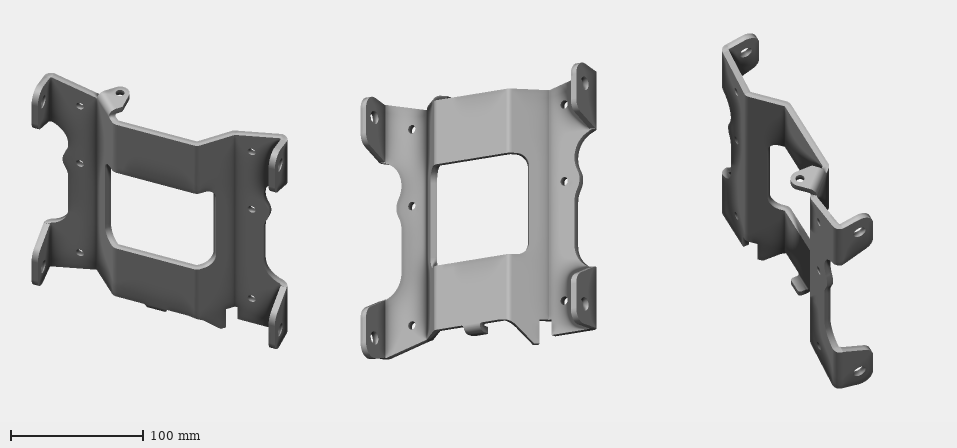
import cadquery as cq
import math


SHEET = 5.0
BEND_IN = 1.0
BEND_OUT = SHEET + BEND_IN
FOOT_R = 2.3

HALF_WIDTH = 98.7
PAN_HALF = 34.0
RAMP_RUN = 22.0
PAN_FRONT = -(RAMP_RUN + SHEET)
RAMP_END = PAN_HALF + RAMP_RUN
FLANGE_END = HALF_WIDTH - BEND_OUT
HALF_FOLD = math.radians(22.5)
FOLD_SHIFT = SHEET * math.tan(HALF_FOLD)
DIAG = math.sqrt(0.5)

WEB_HALF_HEIGHT = 89.5
EAR_ROOT = 98.5
EAR_HALF_HEIGHT = 101.6
SLOT_INNER = 58.2
SIDE_EDGE = 79.2
CUTOUT_R = 20.0
CUTOUT_Z = 34.0

WEB_HOLE_D = 6.5
WEB_HOLE_X = 69.7
WEB_HOLE_Z = 76.5
MIDDLE_HOLE_Z = 16.5
BUMP_R = 14.0
WINDOW_HALF_WIDTH = 45.1
WINDOW_HALF_HEIGHT = 39.5
WINDOW_R = 10.0

EAR_FRONT = -31.3
EAR_R = 10.0
EAR_INNER_ANGLE = 24.0
EAR_OUTER_ANGLE = 12.3
EAR_HOLE_D = 10.3
EAR_HOLE_Y = -20.0
EAR_HOLE_Z = 85.9

FINGER_EDGE_X = 50.8
FINGER_TIP_Z = -108.4
FINGER_TIP_WIDTH = 4.2
FINGER_ROOT_R = 20.0

LUG_START = 30.5
LUG_WIDTH = 21.8
LUG_HOLE_D = 6.7
LUG_EYE_R = 7.1
LUG_EYE_REACH = 16.0

TAB_HALF_WIDTH = 7.3
TAB_REAR = -14.3
TAB_CORNER_R = 2.0

FAR = 210.0


def quarter_bend(plane, length):
    """90 degree bend from the local Y axis, outer face at x = 0, turning towards +x."""
    def on_arc(radius, angle):
        return (BEND_OUT - radius * math.cos(angle), radius * math.sin(angle))

    mid_angle = math.radians(45)
    return (
        cq.Workplane(plane)
        .moveTo(0, 0)
        .threePointArc(on_arc(BEND_OUT, mid_angle), (BEND_OUT, BEND_OUT))
        .lineTo(BEND_OUT, BEND_IN)
        .threePointArc(on_arc(BEND_IN, mid_angle), (SHEET, 0))
        .close()
        .extrude(length)
    )


def bend_foot(plane, edge, direction):
    """Concave fillet between the sheet edge and one side of a quarter bend built on the plane."""
    foot_end = edge + direction * FOOT_R
    edge_plane = cq.Plane(origin=plane.origin, xDir=plane.zDir, normal=-plane.xDir)
    fillet = (
        cq.Workplane(edge_plane)
        .moveTo(edge, 0)
        .lineTo(foot_end, 0)
        .threePointArc((foot_end - direction * FOOT_R * DIAG, FOOT_R * (1 - DIAG)), (edge, FOOT_R))
        .close()
        .extrude(-BEND_OUT)
    )
    start = cq.Workplane(plane).workplane(offset=min(edge, foot_end)).plane
    return quarter_bend(start, FOOT_R).intersect(fillet)


def both_sides(right_half):
    """The given solid together with its mirror image about the mid plane."""
    return right_half.union(right_half.mirror("YZ"))


def ramp_plane():
    """Plane on the right ramp's front face: local x runs up the ramp from the pan fold, y is Z."""
    return cq.Plane(origin=(PAN_HALF, PAN_FRONT, 0), xDir=(1, 1, 0), normal=(1, -1, 0))


def folded_strip(z_low, z_high):
    """The pan, ramps and flanges as a plain folded strip."""
    front = [
        (-FLANGE_END, -SHEET), (-RAMP_END, -SHEET), (-PAN_HALF, PAN_FRONT),
        (PAN_HALF, PAN_FRONT), (RAMP_END, -SHEET), (FLANGE_END, -SHEET),
    ]
    rear_right = [
        (FLANGE_END, 0), (RAMP_END - FOLD_SHIFT, 0), (PAN_HALF - FOLD_SHIFT, PAN_FRONT + SHEET),
    ]
    rear_left = [(-x, y) for x, y in reversed(rear_right)]
    strip = (
        cq.Workplane("XY", origin=(0, 0, z_low))
        .polyline(front + rear_right + rear_left).close()
        .extrude(z_high - z_low)
    )

    for x, y, radius in (
        (PAN_HALF, PAN_FRONT, BEND_OUT),
        (RAMP_END, -SHEET, BEND_IN),
        (RAMP_END - FOLD_SHIFT, 0, BEND_OUT),
        (PAN_HALF - FOLD_SHIFT, PAN_FRONT + SHEET, BEND_IN),
    ):
        for side in (-1, 1):
            fold = cq.selectors.NearestToPointSelector((side * x, y, (z_low + z_high) / 2))
            strip = strip.edges("|Z").edges(fold).fillet(radius)
    return strip


def side_cutout():
    """Notch in the right edge between the ears, leaving a bump around the middle hole."""
    arc_x = SIDE_EDGE + CUTOUT_R
    reach = BUMP_R + CUTOUT_R
    bump_dx = arc_x - WEB_HOLE_X
    bump_dz = math.sqrt(reach ** 2 - bump_dx ** 2)
    touch_x = WEB_HOLE_X + bump_dx * BUMP_R / reach
    touch_dz = bump_dz * BUMP_R / reach
    upper_z = MIDDLE_HOLE_Z + bump_dz
    lower_z = MIDDLE_HOLE_Z - bump_dz
    half_fan = 0.5 * math.asin(bump_dz / reach)
    diag = CUTOUT_R * DIAG
    return (
        cq.Workplane("XZ", origin=(0, FAR / 2, 0))
        .moveTo(arc_x, upper_z + CUTOUT_R)
        .threePointArc((SIDE_EDGE, upper_z), (touch_x, MIDDLE_HOLE_Z + touch_dz))
        .threePointArc((WEB_HOLE_X + BUMP_R, MIDDLE_HOLE_Z), (touch_x, MIDDLE_HOLE_Z - touch_dz))
        .threePointArc(
            (arc_x - CUTOUT_R * math.cos(half_fan), lower_z + CUTOUT_R * math.sin(half_fan)),
            (SIDE_EDGE, lower_z),
        )
        .lineTo(SIDE_EDGE, -CUTOUT_Z)
        .threePointArc((arc_x - diag, -CUTOUT_Z - diag), (arc_x, -CUTOUT_Z - CUTOUT_R))
        .close()
        .extrude(FAR)
    )


def window():
    """Right half of the window, wrapped over the fold; its end is cut square to the ramp."""
    ramp_length = (WINDOW_HALF_WIDTH - PAN_HALF) / DIAG
    middle = cq.Workplane("XY").box(
        PAN_HALF, FAR, 2 * WINDOW_HALF_HEIGHT, centered=(False, True, True)
    )
    end = (
        cq.Workplane(ramp_plane())
        .moveTo(0, -WINDOW_HALF_HEIGHT)
        .lineTo(ramp_length - WINDOW_R, -WINDOW_HALF_HEIGHT)
        .tangentArcPoint((WINDOW_R, WINDOW_R))
        .lineTo(ramp_length, WINDOW_HALF_HEIGHT - WINDOW_R)
        .tangentArcPoint((-WINDOW_R, WINDOW_R))
        .lineTo(0, WINDOW_HALF_HEIGHT)
        .close()
        .extrude(SHEET, both=True)
    )
    return middle.union(end)


def web():
    """Folded strip with its ear bends, trimmed to the outline and pierced."""
    strip = folded_strip(-EAR_HALF_HEIGHT, EAR_ROOT)
    corner_plane = cq.Plane(
        origin=(HALF_WIDTH, -BEND_OUT, -EAR_HALF_HEIGHT), xDir=(-1, 0, 0), normal=(0, 0, -1)
    )
    corner = quarter_bend(corner_plane, -(EAR_HALF_HEIGHT + EAR_ROOT))
    outline = (
        cq.Workplane("XZ", origin=(0, FAR / 2, 0))
        .polyline([
            (-HALF_WIDTH, EAR_ROOT), (-FLANGE_END, EAR_ROOT), (-RAMP_END, WEB_HALF_HEIGHT),
            (RAMP_END, WEB_HALF_HEIGHT), (FLANGE_END, EAR_ROOT), (HALF_WIDTH, EAR_ROOT),
            (HALF_WIDTH, -EAR_HALF_HEIGHT), (SLOT_INNER, -EAR_HALF_HEIGHT),
            (SLOT_INNER, -WEB_HALF_HEIGHT), (-RAMP_END, -WEB_HALF_HEIGHT),
            (-FLANGE_END, -EAR_ROOT), (-HALF_WIDTH, -EAR_ROOT),
        ]).close()
        .extrude(FAR)
    )
    holes = (
        cq.Workplane("XZ", origin=(0, FAR / 2, 0))
        .pushPoints([
            (side * WEB_HOLE_X, z)
            for side in (-1, 1)
            for z in (-WEB_HOLE_Z, MIDDLE_HOLE_Z, WEB_HOLE_Z)
        ])
        .circle(WEB_HOLE_D / 2)
        .extrude(FAR)
    )
    return (
        strip.union(both_sides(corner))
        .intersect(outline)
        .cut(both_sides(side_cutout()))
        .cut(both_sides(window()))
        .cut(holes)
    )


def ear(square_root):
    """Upper right ear without its bend; a square root keeps the outer edge level at full height."""
    inner = math.radians(EAR_INNER_ANGLE)
    outer = math.radians(EAR_OUTER_ANGLE)
    root_y = -BEND_OUT
    root_low = CUTOUT_Z + CUTOUT_R
    tip_low = root_low + (root_y - EAR_FRONT) * math.tan(inner)
    corner_y = EAR_FRONT + EAR_R
    corner_z = EAR_HALF_HEIGHT - EAR_R
    slope_end = (corner_y + EAR_R * math.sin(outer), corner_z + EAR_R * math.cos(outer))

    turn = math.pi / 2 - inner
    tangent = EAR_R * math.tan(turn / 2)
    low_z = tip_low + tangent
    low_end = (EAR_FRONT + tangent * math.cos(inner), tip_low - tangent * math.sin(inner))
    low_mid = (corner_y - EAR_R * math.cos(turn / 2), low_z - EAR_R * math.sin(turn / 2))

    profile = cq.Workplane("YZ", origin=(HALF_WIDTH - SHEET, 0, 0)).moveTo(root_y, root_low)
    if square_root:
        profile = profile.lineTo(root_y, EAR_HALF_HEIGHT).lineTo(corner_y, EAR_HALF_HEIGHT)
    else:
        profile = (
            profile.lineTo(root_y, EAR_ROOT)
            .lineTo(*slope_end)
            .threePointArc(
                (corner_y + EAR_R * math.sin(outer / 2), corner_z + EAR_R * math.cos(outer / 2)),
                (corner_y, EAR_HALF_HEIGHT),
            )
        )
    blank = (
        profile
        .threePointArc((corner_y - EAR_R * DIAG, corner_z + EAR_R * DIAG), (EAR_FRONT, corner_z))
        .lineTo(EAR_FRONT, low_z)
        .threePointArc(low_mid, low_end)
        .close()
        .extrude(SHEET)
    )
    hole = (
        cq.Workplane("YZ")
        .center(EAR_HOLE_Y, EAR_HOLE_Z)
        .circle(EAR_HOLE_D / 2)
        .extrude(FAR)
    )
    return blank.cut(hole)


def ears():
    """All four ears; the lower right one meets the square corner of its flange."""
    sloped = ear(square_root=False)
    lower_left = sloped.mirror("YZ").mirror("XY")
    lower_right = ear(square_root=True).mirror("XY")
    return both_sides(sloped).union(lower_left).union(lower_right)


def finger():
    """Pointed finger below the right ramp, with a 45 degree flank blending into the pan edge."""
    edge = (FINGER_EDGE_X - PAN_HALF) / DIAG
    flank_corner = edge - FINGER_TIP_WIDTH + (FINGER_TIP_Z + WEB_HALF_HEIGHT)
    tangent = FINGER_ROOT_R * math.tan(HALF_FOLD)
    root = (flank_corner - tangent, -WEB_HALF_HEIGHT)
    flank = (flank_corner + tangent * DIAG, -WEB_HALF_HEIGHT - tangent * DIAG)
    blend_mid = (
        root[0] + FINGER_ROOT_R * math.sin(HALF_FOLD),
        root[1] - FINGER_ROOT_R * (1 - math.cos(HALF_FOLD)),
    )

    def flat_shape(plane):
        """Outline in flat lengths from the pan fold, one sheet thick behind the plane."""
        return (
            cq.Workplane(plane)
            .moveTo(*root)
            .threePointArc(blend_mid, flank)
            .lineTo(edge - FINGER_TIP_WIDTH, FINGER_TIP_Z)
            .lineTo(edge, FINGER_TIP_Z)
            .lineTo(edge, -WEB_HALF_HEIGHT)
            .close()
            .extrude(-SHEET)
        )

    pan_plane = cq.Plane(origin=(PAN_HALF, PAN_FRONT, 0), xDir=(1, 0, 0), normal=(0, -1, 0))
    flats = flat_shape(pan_plane).union(flat_shape(ramp_plane()))
    return folded_strip(FINGER_TIP_Z, -WEB_HALF_HEIGHT).intersect(flats)


def hinge_lug():
    """Lug folded rearwards off the top of the left ramp, with an eye hole."""
    start = (-PAN_HALF - LUG_START * DIAG, PAN_FRONT + LUG_START * DIAG)
    bend_plane = cq.Plane(
        origin=(*start, WEB_HALF_HEIGHT), xDir=(1, 1, 0), normal=(1, -1, 0)
    )
    bend = quarter_bend(bend_plane, LUG_WIDTH).union(bend_foot(bend_plane, LUG_WIDTH, 1))
    plate_plane = cq.Plane(
        origin=(*start, WEB_HALF_HEIGHT + BEND_IN), xDir=(1, 1, 0), normal=(0, 0, 1)
    )
    eye = (LUG_EYE_REACH, -LUG_EYE_R)
    arc_end = (eye[0] + LUG_EYE_R * DIAG, eye[1] - LUG_EYE_R * DIAG)
    arc_mid = (
        eye[0] + LUG_EYE_R * math.cos(HALF_FOLD),
        eye[1] + LUG_EYE_R * math.sin(HALF_FOLD),
    )
    side_drop = LUG_WIDTH + arc_end[1]
    plate = (
        cq.Workplane(plate_plane)
        .moveTo(BEND_OUT, 0)
        .lineTo(eye[0], 0)
        .threePointArc(arc_mid, arc_end)
        .lineTo(arc_end[0] - side_drop, -LUG_WIDTH)
        .lineTo(BEND_OUT, -LUG_WIDTH)
        .close()
        .extrude(SHEET)
    )
    hole = cq.Workplane(plate_plane).center(*eye).circle(LUG_HOLE_D / 2).extrude(SHEET)
    return bend.union(plate.cut(hole))


def stop_tab():
    """Small tab folded rearwards off the bottom of the pan."""
    tab_width = 2 * TAB_HALF_WIDTH
    tab_low = -WEB_HALF_HEIGHT - BEND_OUT
    bend_plane = cq.Plane(
        origin=(TAB_HALF_WIDTH, PAN_FRONT, -WEB_HALF_HEIGHT), xDir=(0, 1, 0), normal=(-1, 0, 0)
    )
    bend = (
        quarter_bend(bend_plane, tab_width)
        .union(bend_foot(bend_plane, 0, -1))
        .union(bend_foot(bend_plane, tab_width, 1))
    )
    plate_front = PAN_FRONT + BEND_OUT
    plate = (
        cq.Workplane("XY", origin=(0, plate_front, tab_low))
        .box(tab_width, TAB_REAR - plate_front, SHEET, centered=(True, False, False))
        .edges("|Z and >Y")
        .fillet(TAB_CORNER_R)
    )
    return bend.union(plate)


result = web().union(ears()).union(finger()).union(hinge_lug()).union(stop_tab())